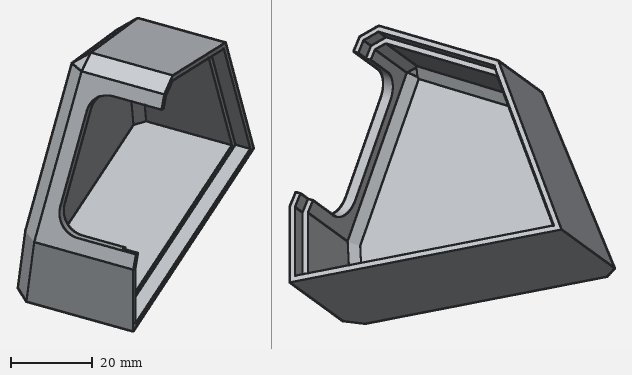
import cadquery as cq
import math


half_width = 32.5
depth = 75.0
front_height = 20.0
apex_height = 65.0
screen_lean = 25.0
back_lean = 20.0
side_lean = 6.0
bevel = 4.0

wall = 3.0
lip_wall = wall / 2
lip_depth = 4.0

window_margin = 4.0
window_radius = 6.0

screen_tan = math.tan(math.radians(screen_lean))
back_tan = math.tan(math.radians(back_lean))
side_tan = math.tan(math.radians(side_lean))
apex_y = (apex_height - front_height) * screen_tan
screen_length = (apex_height - front_height) / math.cos(math.radians(screen_lean))
shoulder_z = (apex_height - (depth - apex_y) * screen_tan) / (1 - back_tan * screen_tan)
shoulder_y = depth - shoulder_z * back_tan


def side_x(z):
    """X of the unbevelled outer side wall at height z."""
    return -half_width + z * side_tan


def make_body():
    """Solid outer form: side profile, leaning side wall, bevelled ridge and side edges."""
    profile = [
        (0, 0),
        (depth, 0),
        (shoulder_y, shoulder_z),
        (apex_y, apex_height),
        (0, front_height),
    ]
    prism = cq.Workplane("YZ").polyline(profile).close().extrude(-half_width)
    front_outline = [
        (0, 0),
        (side_x(0), 0),
        (side_x(apex_height), apex_height),
        (0, apex_height),
    ]
    leaning_block = cq.Workplane("XZ").polyline(front_outline).close().extrude(-depth)
    body = prism.intersect(leaning_block)
    ridge = body.edges("|X").edges(">Z")
    side_edges = body.faces("<X").edges("not(<Z)")
    return body.newObject(ridge.vals() + side_edges.vals()).chamfer(bevel)


def make_cavity(body, thickness):
    """Inside of the body at the given wall thickness, reaching the joint plane."""
    return body.cut(body.faces(">X").shell(-thickness))


def make_joint_recess(body):
    """Widened mouth of the cavity that leaves a thin lip along the joint plane."""
    slab = cq.Workplane("XY").box(lip_depth, depth, apex_height, centered=False)
    return make_cavity(body, lip_wall).intersect(slab.translate((-lip_depth, 0, 0)))


def make_window():
    """Rounded opening cut square through the screen wall and open at the joint plane."""
    lean = math.radians(screen_lean)
    screen_plane = cq.Plane(
        origin=(0, 0, front_height),
        xDir=(1, 0, 0),
        normal=(0, -math.cos(lean), math.sin(lean)),
    )
    low = window_margin
    high = screen_length - bevel - window_margin
    edge_slope = side_tan * math.cos(lean)
    edge_start = side_x(front_height) + (bevel + window_margin) * math.hypot(1, edge_slope)
    past_joint = half_width
    outline = [
        (edge_start + low * edge_slope, low),
        (edge_start + high * edge_slope, high),
        (past_joint, high),
        (past_joint, low),
    ]
    window = cq.Workplane(screen_plane).polyline(outline).close().extrude(wall, both=True)
    corners = window.edges(cq.ParallelDirSelector(screen_plane.zDir))
    return corners.fillet(window_radius)


body = make_body()
housing = body.cut(make_cavity(body, wall))
housing = housing.cut(make_joint_recess(body))
result = housing.cut(make_window())